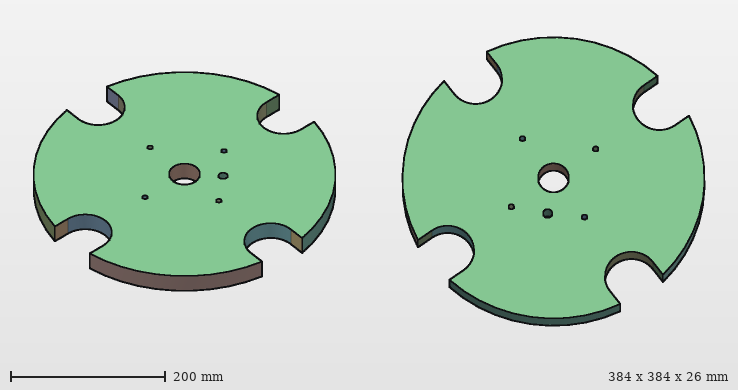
import cadquery as cq
import math

overall_size = 384.0
thickness = 26.0
slot_radius = 34.0
slot_center_distance = 169.7
slot_count = 4
bore_diameter = 40.0
bolt_hole_diameter = 7.0
bolt_circle_radius = 67.5
bolt_hole_count = 4
offset_hole_diameter = 12.0
offset_hole_distance = 50.0
offset_hole_angle = 45.0

disc_radius = math.hypot(overall_size / 2, slot_radius)


def rim_slot(angle):
    """Round-ended slot that opens through the rim at the given angle."""
    round_end = cq.Workplane("XY").center(slot_center_distance, 0).circle(slot_radius).extrude(thickness)
    mouth = (
        cq.Workplane("XY")
        .box(disc_radius, 2 * slot_radius, thickness, centered=(False, True, False))
        .translate((slot_center_distance, 0, 0))
    )
    return round_end.union(mouth).rotate((0, 0, 0), (0, 0, 1), angle)


result = cq.Workplane("XY").circle(disc_radius).circle(bore_diameter / 2).extrude(thickness)

for index in range(slot_count):
    result = result.cut(rim_slot(index * 360 / slot_count))

result = (
    result.faces(">Z")
    .workplane(origin=(0, 0, thickness))
    .polarArray(bolt_circle_radius, 0, 360, bolt_hole_count)
    .hole(bolt_hole_diameter)
)

result = (
    result.faces(">Z")
    .workplane(origin=(0, 0, thickness))
    .polarArray(offset_hole_distance, offset_hole_angle, 360, 1)
    .hole(offset_hole_diameter)
)